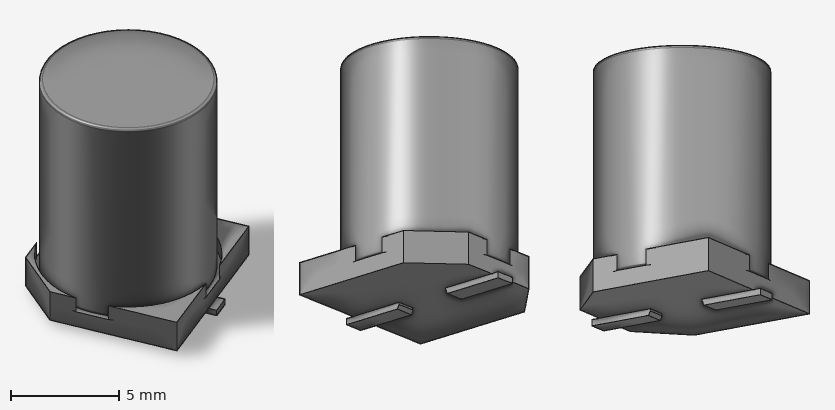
import cadquery as cq

total_height = 11.7
lead_span = 9.3
base_width = 8.5
can_diameter = 8.2

lead_thickness = 0.3
base_top = 1.9
corner_cut = 2.13
recess_diameter = 8.65
recess_floor = 1.12

can_edge_radius = 0.14

lead_width = 1.0
lead_gap = 2.85
lead_end_bevel_length = 0.1
lead_end_bevel_height = 0.2


def make_base():
    """Square plate, cut at both -X corners; the recess breaks through the middle of each side."""
    plate = (
        cq.Workplane("XY", origin=(0, 0, lead_thickness))
        .rect(base_width, base_width)
        .extrude(base_top - lead_thickness)
        .edges("|Z and <X")
        .chamfer(corner_cut)
    )
    recess = (
        cq.Workplane("XY", origin=(0, 0, recess_floor))
        .circle(recess_diameter / 2)
        .extrude(base_top - recess_floor)
    )
    return plate.cut(recess)


def make_can():
    """Cylinder standing on the recess floor, rounded at both ends."""
    return (
        cq.Workplane("XY", origin=(0, 0, recess_floor))
        .circle(can_diameter / 2)
        .extrude(total_height - recess_floor)
        .edges("%CIRCLE")
        .fillet(can_edge_radius)
    )


def make_lead(side):
    """Flat strip under the base, beveled below its inner end; side is -1 or +1 along X."""
    outer_end = side * lead_span / 2
    inner_end = side * lead_gap / 2
    bevel_end = inner_end + side * lead_end_bevel_length
    return (
        cq.Workplane("XZ")
        .moveTo(outer_end, 0)
        .lineTo(bevel_end, 0)
        .lineTo(inner_end, lead_end_bevel_height)
        .lineTo(inner_end, lead_thickness)
        .lineTo(outer_end, lead_thickness)
        .close()
        .extrude(lead_width / 2, both=True)
    )


base = make_base()
can = make_can()
leads = [make_lead(side) for side in (-1, 1)]

result = cq.Compound.makeCompound([base.val(), can.val(), *[lead.val() for lead in leads]])